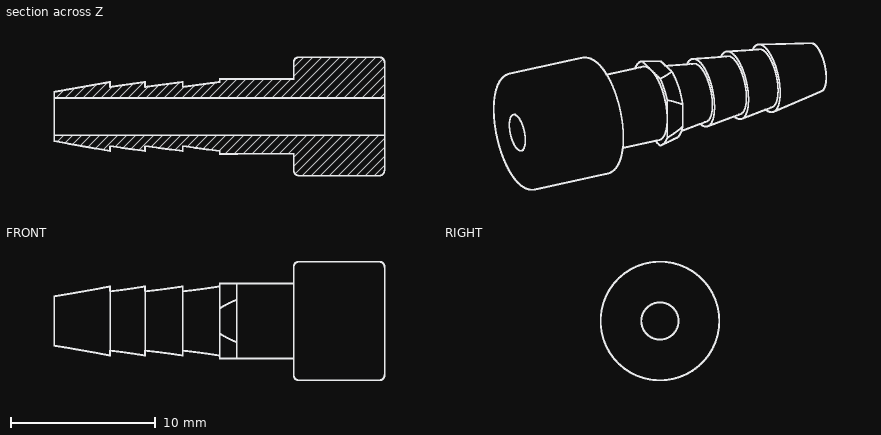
import cadquery as cq

total_length = 22.8
barb_crests = [3.85, 6.27, 8.87, 11.4]
collar_start = barb_crests[-1]
collar_end = 12.59
head_start = 16.5

tip_radius = 1.7
crest_radius = 2.4
root_radius = 2.05
shaft_radius = 2.6
collar_width = 2 * shaft_radius
collar_front_radius = 2.74
collar_back_radius = 2.99
head_radius = 4.1
head_rounding = 0.39
bore_radius = 1.28


def cylinder(start, end, radius):
    """Cylinder about the X axis between two axial stations."""
    return cq.Workplane("YZ", origin=(start, 0, 0)).circle(radius).extrude(end - start)


def cone(start, end, start_radius, end_radius):
    """Truncated cone about the X axis between two axial stations."""
    profile = [(start, 0), (start, start_radius), (end, end_radius), (end, 0)]
    return cq.Workplane("XY").polyline(profile).close().revolve(360, (0, 0, 0), (1, 0, 0))


def hose_barbs():
    """Tapered tip followed by identical sawtooth barbs."""
    barbs = cone(0, barb_crests[0], tip_radius, crest_radius)
    for start, end in zip(barb_crests, barb_crests[1:]):
        barbs = barbs.union(cone(start, end, root_radius, crest_radius))
    return barbs


def collar():
    """Square collar whose corners are turned to a cone."""
    length = collar_end - collar_start
    square = cq.Workplane("YZ", origin=(collar_start, 0, 0)).rect(collar_width, collar_width).extrude(length)
    return square.intersect(cone(collar_start, collar_end, collar_front_radius, collar_back_radius))


def head():
    """Cylindrical head with both rims rounded."""
    return cylinder(head_start, total_length, head_radius).edges("%CIRCLE").fillet(head_rounding)


shaft = cylinder(collar_end, head_start, shaft_radius)
bore = cylinder(0, total_length, bore_radius)

result = hose_barbs().union(collar()).union(shaft).union(head()).cut(bore)